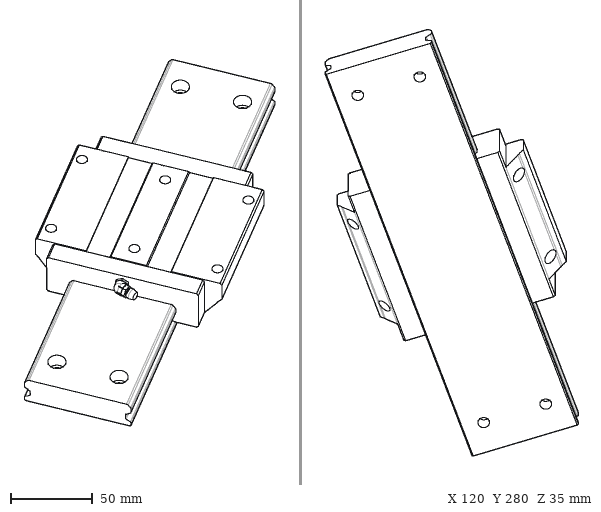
import cadquery as cq
import math

rail_length = 280.0
rail_height = 19.0
rail_half_width = 34.3
rail_waist_half_width = 30.6
rail_top_half_width = 32.0
rail_top_radius = 1.4
rail_head_underside_radius = 1.8
rail_base_radius = 1.0
rail_waist_radius = 1.0
rail_base_chamfer = 0.8

rail_base_top = 3.5
rail_waist_bottom = 5.8
rail_waist_top = 9.4
rail_head_bottom = 12.0
rail_head_top = 16.1

rail_hole_pitch = 40.0
rail_hole_end_distance = 20.0
rail_hole_diameter = 7.0
rail_counterbore_diameter = 11.0
rail_counterbore_depth = 9.0

carriage_top = 35.0
carriage_bottom = 4.0
block_length = 82.0
wing_half_width = 60.0
wing_side_bottom = 21.0
wing_top_chamfer = 1.2

wing_lip = (57.4, 17.8)
wing_slope_start = (56.5, 16.2)

recess_depth = 0.7
centre_pad_half_width = 11.4
recess_outer = 27.3
centre_pad_taper = 0.7

mount_pitch_x = 107.0
mount_pitch_y = 60.0
wing_hole_diameter = 6.65
centre_hole_diameter = 6.65

cap_length = 12.0
cap_half_width = 48.8
cap_top = 34.2
cap_edge_chamfer = 1.2

nipple_height = 27.2
nipple_angle = 18.0
foot_length = 1.5
foot_across_flats = 8.0
elbow_diameter = 8.0
elbow_reach = 4.0
nozzle_hex_across_flats = 7.0
nozzle_arm_diameter = 7.9
nozzle_arm_end = 3.2
nozzle_hex_end = 5.5
nozzle_neck_diameter = 4.92
nozzle_head_diameter = 6.65
nozzle_head_start = 6.6
nozzle_head_end = 8.4
nozzle_tip_diameter = 4.92
nozzle_tip_end = 11.3

cap_outer_y = block_length / 2 + cap_length


def mirrored_prism(right_side, length):
    """Prism along Y, centred, from the right-hand XZ points of a symmetric outline."""
    left_side = [(-x, z) for x, z in reversed(right_side)]
    return cq.Workplane("XZ").polyline(right_side + left_side).close().extrude(length / 2, both=True)


def rail_bar():
    """Rail without holes; also the shape of the channel through the carriage."""
    bar = mirrored_prism([
        (rail_half_width - rail_base_chamfer, 0),
        (rail_half_width, rail_base_chamfer),
        (rail_half_width, rail_base_top),
        (rail_waist_half_width, rail_waist_bottom),
        (rail_waist_half_width, rail_waist_top),
        (rail_half_width, rail_head_bottom),
        (rail_half_width, rail_head_top),
        (rail_top_half_width, rail_height),
    ], rail_length)

    rounded_corners = [
        (rail_half_width, rail_base_top, rail_base_radius),
        (rail_waist_half_width, rail_waist_bottom, rail_waist_radius),
        (rail_waist_half_width, rail_waist_top, rail_waist_radius),
        (rail_half_width, rail_head_bottom, rail_head_underside_radius),
        (rail_half_width, rail_head_top, rail_top_radius),
        (rail_top_half_width, rail_height, rail_top_radius),
    ]
    for half_width, height, radius in rounded_corners:
        for side in (-1, 1):
            corner_edge = cq.selectors.NearestToPointSelector((side * half_width, 0, height))
            bar = bar.edges("|Y").edges(corner_edge).fillet(radius)
    return bar


def make_rail():
    return (
        rail_bar().faces(">Z").workplane(origin=(0, 0, 0))
        .rarray(rail_hole_pitch, rail_length - 2 * rail_hole_end_distance, 2, 2)
        .cboreHole(rail_hole_diameter, rail_counterbore_diameter, rail_counterbore_depth)
    )


def make_block():
    recess_floor = carriage_top - recess_depth
    return mirrored_prism([
        (cap_half_width - cap_edge_chamfer, carriage_bottom),
        (cap_half_width, carriage_bottom + cap_edge_chamfer),
        wing_slope_start,
        wing_lip,
        (wing_half_width, wing_side_bottom),
        (wing_half_width, carriage_top - wing_top_chamfer),
        (wing_half_width - wing_top_chamfer, carriage_top),
        (recess_outer, carriage_top),
        (recess_outer, recess_floor),
        (centre_pad_half_width + centre_pad_taper, recess_floor),
        (centre_pad_half_width, carriage_top),
    ], block_length)


def mounting_holes():
    wing_holes = (
        cq.Workplane("XY").rarray(mount_pitch_x, mount_pitch_y, 2, 2)
        .circle(wing_hole_diameter / 2).extrude(carriage_top)
    )
    centre_holes = (
        cq.Workplane("XY").rarray(1, mount_pitch_y, 1, 2)
        .circle(centre_hole_diameter / 2).extrude(carriage_top)
    )
    return wing_holes.union(centre_holes)


def make_end_cap(side):
    return (
        cq.Workplane("XY")
        .box(2 * cap_half_width, cap_length, cap_top - carriage_bottom)
        .edges("|Y").chamfer(cap_edge_chamfer)
        .translate((0, side * (block_length + cap_length) / 2, (cap_top + carriage_bottom) / 2))
    )


def make_carriage():
    """Block and end caps as one solid, cut to fit over the rail."""
    carriage = make_block().cut(mounting_holes())
    for side in (-1, 1):
        carriage = carriage.union(make_end_cap(side))
    return carriage.cut(rail_bar())


def nozzle():
    """Nozzle along +X from the origin, built at the elbow centre before it is turned."""
    hexagon = (
        cq.Workplane("YZ")
        .polygon(6, nozzle_hex_across_flats / math.cos(math.pi / 6))
        .extrude(nozzle_hex_end)
    )
    arm = cq.Workplane("YZ").circle(nozzle_arm_diameter / 2).extrude(nozzle_arm_end)
    turned = (
        cq.Workplane("XY")
        .lineTo(0, nozzle_neck_diameter / 2)
        .lineTo(nozzle_head_start, nozzle_neck_diameter / 2)
        .lineTo(nozzle_head_start, nozzle_head_diameter / 2)
        .lineTo(nozzle_head_end, nozzle_head_diameter / 2)
        .lineTo(nozzle_tip_end, nozzle_tip_diameter / 2)
        .lineTo(nozzle_tip_end, 0)
        .close()
        .revolve(360, (0, 0, 0), (1, 0, 0))
    )
    return arm.union(hexagon).union(turned)


def make_nipple():
    """Nipple standing on the front end cap, its nozzle swung from +X toward -Y."""
    foot = (
        cq.Workplane("XZ")
        .polygon(6, foot_across_flats / math.cos(math.pi / 6))
        .extrude(foot_length)
        .rotate((0, 0, 0), (0, 1, 0), 30)
    )
    elbow_radius = elbow_diameter / 2
    elbow = (
        cq.Workplane("XY")
        .lineTo(elbow_radius, 0)
        .lineTo(elbow_radius, -elbow_reach)
        .radiusArc((0, -elbow_reach - elbow_radius), elbow_radius)
        .close()
        .revolve(360, (0, 0, 0), (0, 1, 0))
    )
    side_nozzle = (
        nozzle()
        .rotate((0, 0, 0), (0, 0, 1), -nipple_angle)
        .translate((0, -elbow_reach, 0))
    )
    nipple = foot.union(elbow).union(side_nozzle)
    return nipple.translate((0, -cap_outer_y, nipple_height))


rail = make_rail()
carriage = make_carriage()
nipple = make_nipple()

result = cq.Compound.makeCompound([rail.val(), carriage.val(), nipple.val()])